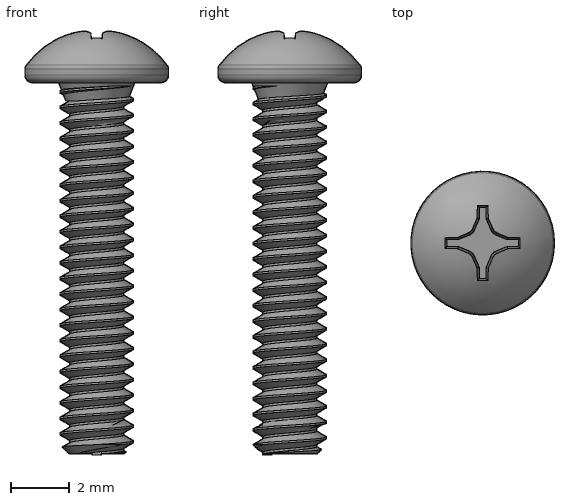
import cadquery as cq
import math

total_length = 14.45
head_bottom = 12.69
shank_end = 0.05

head_radius = 4.9 / 2
lower_round = 0.26
rim_height = 0.48
dome_edge_radius = 2.4
dome_edge_height = 0.6
dome_apex = total_length + 0.06

thread_radius = 1.25
core_radius = 0.92
thread_length = 12.98
thread_turns = 24.5
pitch = thread_length / thread_turns
crest_width = pitch / 8
flank_angle = 30
thread_start = -0.2
core_overlap = 0.05
end_chamfer_radius = 0.94

nib_width = 0.32
nib_inner_radius = 0.6
nib_outer_radius = 0.92

neck_radius = 1.3
neck_bottom_radius = 1.05
neck_height = 0.62

recess_floor = 13.3
recess_inset = 0.09
recess_reach = 1.3
recess_half_width = 0.2
recess_straight_start = 0.85
recess_flare_angle = 22.5
recess_corner_radius = 0.26

overlap = 0.15


def make_head():
    """Domed head with a rounded rim, revolved about Z."""
    dome_edge = (dome_edge_radius, head_bottom + dome_edge_height)
    dome_height = dome_apex - dome_edge[1]
    dome_radius = (dome_edge_radius**2 + dome_height**2) / (2 * dome_height)
    half_angle = math.asin(dome_edge_radius / dome_radius) / 2
    dome_middle = (
        dome_radius * math.sin(half_angle),
        dome_apex - dome_radius * (1 - math.cos(half_angle)),
    )
    return (
        cq.Workplane("XZ")
        .moveTo(0, head_bottom)
        .lineTo(head_radius - lower_round, head_bottom)
        .radiusArc((head_radius, head_bottom + lower_round), -lower_round)
        .lineTo(head_radius, head_bottom + rim_height)
        .tangentArcPoint(dome_edge, relative=False)
        .threePointArc(dome_middle, (0, dome_apex))
        .close()
        .revolve(360, (0, 0), (0, 1))
    )


def make_neck():
    """Tapered neck that widens the core where it meets the head."""
    bottom = head_bottom - neck_height
    return (
        cq.Workplane("XZ")
        .moveTo(0, bottom)
        .lineTo(neck_bottom_radius, bottom)
        .lineTo(neck_radius, head_bottom)
        .lineTo(0, head_bottom)
        .close()
        .revolve(360, (0, 0), (0, 1))
    )


def make_core():
    """Thread core running from the free end into the head."""
    return cq.Workplane("XY").circle(core_radius).extrude(head_bottom + overlap)


def make_thread():
    """Right-handed V ridge that starts on the -Y side and runs out inside the neck and head."""
    inner_radius = core_radius - core_overlap
    crest_half = crest_width / 2
    base_half = crest_half + (thread_radius - inner_radius) * math.tan(math.radians(flank_angle))
    helix = cq.Wire.makeHelix(pitch, thread_length, core_radius)
    ridge = (
        cq.Workplane("XZ")
        .moveTo(inner_radius, -base_half)
        .lineTo(thread_radius, -crest_half)
        .lineTo(thread_radius, crest_half)
        .lineTo(inner_radius, base_half)
        .close()
        .sweep(cq.Workplane(obj=helix), isFrenet=True)
    )
    return ridge.rotate((0, 0, 0), (0, 0, 1), -90).translate((0, 0, thread_start))


def make_end_envelope():
    """Cylinder with a 45 degree chamfer that trims the free end of the thread."""
    envelope_radius = thread_radius + overlap
    return (
        cq.Workplane("XY", origin=(0, 0, shank_end))
        .circle(envelope_radius)
        .extrude(head_bottom + overlap - shank_end)
        .faces("<Z")
        .chamfer(envelope_radius - end_chamfer_radius)
    )


def make_nib():
    """Nib on the -Y side, standing slightly below the end face."""
    nib_length = nib_outer_radius - nib_inner_radius
    return (
        cq.Workplane("XY")
        .center(0, -nib_inner_radius - nib_length / 2)
        .rect(nib_width, nib_length)
        .extrude(shank_end + overlap)
    )


def turn_quarter(point, quarters):
    """Rotate a point about Z by a number of quarter turns."""
    x, y = point
    for _ in range(quarters):
        x, y = -y, x
    return (x, y)


def recess_outline(level, inset):
    """Closed cross outline at a height, with every wall moved inward by inset."""
    flare = math.radians(recess_flare_angle)
    reach = recess_reach - inset
    half_width = recess_half_width - inset
    straight_start = recess_straight_start - inset * math.tan(flare / 2)
    corner_radius = recess_corner_radius + inset

    corner = (half_width + straight_start * math.tan(flare)) / (1 + math.tan(flare))
    setback = corner_radius * math.tan(math.pi / 4 - flare)
    near = corner - setback * math.sin(flare)
    far = corner + setback * math.cos(flare)

    outline = cq.Workplane("XY", origin=(0, 0, level)).moveTo(reach, -half_width)
    for arm in range(4):
        outline = (
            outline.lineTo(*turn_quarter((reach, half_width), arm))
            .lineTo(*turn_quarter((straight_start, half_width), arm))
            .lineTo(*turn_quarter((far, near), arm))
            .radiusArc(turn_quarter((near, far), arm), corner_radius)
            .lineTo(*turn_quarter((half_width, straight_start), arm))
            .lineTo(*turn_quarter((half_width, reach), arm))
        )
    return outline.close().val()


def make_recess():
    """Cross recess with drafted walls, from its floor up to the dome apex."""
    floor = recess_outline(recess_floor, recess_inset)
    mouth = recess_outline(dome_apex, 0)
    return cq.Workplane(obj=cq.Solid.makeLoft([floor, mouth], True))


threaded_shank = make_core().union(make_thread()).intersect(make_end_envelope()).union(make_nib())
headed_neck = make_head().union(make_neck())
result = threaded_shank.union(headed_neck).cut(make_recess())